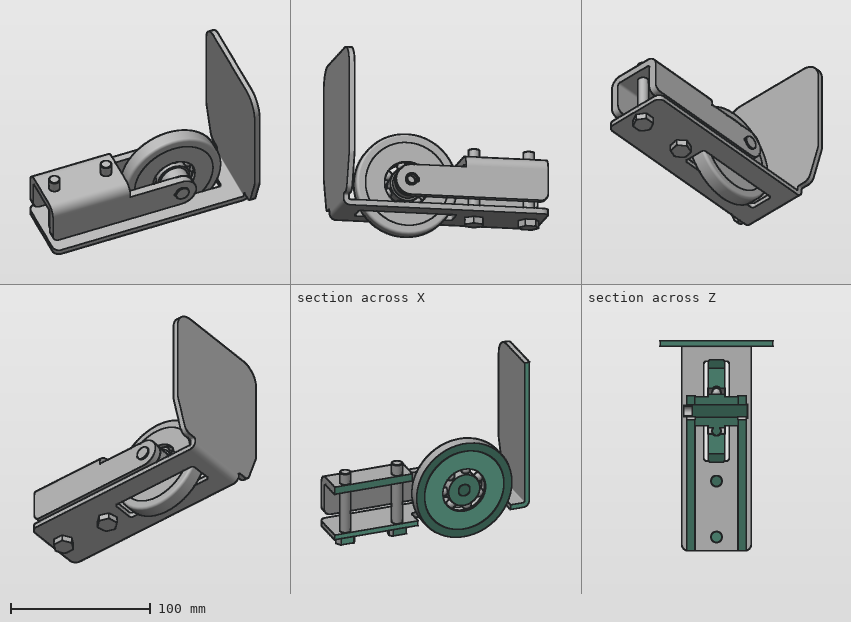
import cadquery as cq
import math


PLATE_LENGTH = 150.5
PLATE_THICKNESS = 4.0
BASE_WIDTH = 50.0
BASE_CORNER_RADIUS = 5.0
BEND_INNER_RADIUS = 0.9
BEND_OUTER_RADIUS = BEND_INNER_RADIUS + PLATE_THICKNESS
FLANGE_WIDTH = 90.0
FLANGE_TOP = 114.4
FLANGE_TOP_RADIUS = 14.6
FLANGE_BOTTOM = 8.0
TAPER_TOP = 34.0
TAPER_ANGLE = 20.0
TAPER_TOP_RADIUS = 10.0
TAPER_BOTTOM_RADIUS = 6.0
RELIEF_RADIUS = 1.5
SLOT_WIDTH = 18.0
SLOT_LENGTH = 71.3
SLOT_CORNER_RADIUS = 2.0

AXLE_Y = 100.1
AXLE_Z = 21.8
WHEEL_DIAMETER = 74.0
WHEEL_WIDTH = 12.0
TYRE_EDGE_RADIUS = 2.1
RIM_DIAMETER = 60.8
RIM_STEP = 0.2
RIM_EDGE_CHAMFER = 0.6
RIM_BORE = 32.7

HUB_DIAMETER = 21.0
RACE_DIAMETER = 24.4
BALL_DIAMETER = 6.6
BALL_COUNT = 7
BALL_START_ANGLE = 101.4
BALL_CIRCLE_RADIUS = (RIM_BORE + RACE_DIAMETER) / 4

FORK_WIDTH = 42.6
FORK_THICKNESS = 6.0
FORK_TOP = 42.0
FORK_INNER_RADIUS = 2.0
FORK_OUTER_RADIUS = FORK_INNER_RADIUS + FORK_THICKNESS
FORK_CORNER_RADIUS = 5.0
CHANNEL_LENGTH = 60.0
ARM_END_RADIUS = 11.0
NOTCH_DIAMETER = 3.0
NOTCH_OFFSET = 4.4

AXLE_DIAMETER = 8.5
AXLE_HEAD_DIAMETER = 10.0
AXLE_HEAD_HEIGHT = 1.0
AXLE_END_LENGTH = 2.1
AXLE_BORE_DIAMETER = 6.6
AXLE_BORE_DEPTH = 6.0

BOLT_DIAMETER = 8.0
BOLT_TOP = 50.4
BOLT_TIP_CHAMFER = 0.5
BOLT_HEAD_HEIGHT = 5.0
BOLT_HEAD_FLATS = 13.0
BOLT_HEAD_CHAMFER = 0.5
BOLTS = [(10.0, 30.0), (50.0, -12.0)]

FORK_INNER_WIDTH = FORK_WIDTH - 2 * FORK_THICKNESS


def x_cylinder(diameter, x_start, x_end, y=AXLE_Y, z=AXLE_Z):
    """Cylinder along X between two X positions, on the wheel axis unless told otherwise."""
    plane = cq.Workplane("YZ", origin=(x_start, y, z))
    return plane.circle(diameter / 2).extrude(x_end - x_start)


def x_disc(diameter, width):
    """Cylinder on the wheel axis, centred on X = 0."""
    return x_cylinder(diameter, -width / 2, width / 2)


def bolt_holes():
    """Cylinders that clear the bolt shanks through every plate."""
    positions = [(0, y) for y, _ in BOLTS]
    return cq.Workplane("XY").pushPoints(positions).circle(BOLT_DIAMETER / 2).extrude(BOLT_TOP)


def make_bent_plate():
    profile = [
        (0, 0),
        (PLATE_LENGTH, 0),
        (PLATE_LENGTH, TAPER_TOP),
        (PLATE_LENGTH - PLATE_THICKNESS, TAPER_TOP),
        (PLATE_LENGTH - PLATE_THICKNESS, PLATE_THICKNESS),
        (0, PLATE_THICKNESS),
    ]
    strip = cq.Workplane("YZ").polyline(profile).close().extrude(BASE_WIDTH / 2, both=True)
    strip = strip.edges("|X and >Y and <Z").fillet(BEND_OUTER_RADIUS)
    bend_corner = cq.selectors.NearestToPointSelector(
        (0, PLATE_LENGTH - PLATE_THICKNESS, PLATE_THICKNESS)
    )
    strip = strip.edges("|X").edges(bend_corner).fillet(BEND_INNER_RADIUS)
    strip = strip.edges("|Z and <Y").fillet(BASE_CORNER_RADIUS)

    half_width = FLANGE_WIDTH / 2
    taper_run = (TAPER_TOP - FLANGE_BOTTOM) * math.tan(math.radians(TAPER_ANGLE))
    half_bottom = half_width - taper_run
    outline = [
        (-half_bottom, FLANGE_BOTTOM),
        (half_bottom, FLANGE_BOTTOM),
        (half_width, TAPER_TOP),
        (half_width, FLANGE_TOP),
        (-half_width, FLANGE_TOP),
        (-half_width, TAPER_TOP),
    ]
    flange_plane = cq.Workplane("XZ", origin=(0, PLATE_LENGTH, 0))
    flange = flange_plane.polyline(outline).close().extrude(PLATE_THICKNESS)
    flange = flange.edges("|Y and >Z").fillet(FLANGE_TOP_RADIUS)
    flange = flange.edges("|Y and <Z").fillet(TAPER_BOTTOM_RADIUS)
    for side in (-1, 1):
        taper_corner = cq.selectors.NearestToPointSelector(
            (side * half_width, PLATE_LENGTH - PLATE_THICKNESS / 2, TAPER_TOP)
        )
        flange = flange.edges("|Y").edges(taper_corner).fillet(TAPER_TOP_RADIUS)

    plate = strip.union(flange)
    for side in (-1, 1):
        relief_corner = cq.selectors.NearestToPointSelector(
            (side * BASE_WIDTH / 2, PLATE_LENGTH - PLATE_THICKNESS / 2, FLANGE_BOTTOM)
        )
        plate = plate.edges("|Y").edges(relief_corner).fillet(RELIEF_RADIUS)

    slot = cq.Workplane("XY", origin=(0, AXLE_Y, 0)).rect(SLOT_WIDTH, SLOT_LENGTH).extrude(PLATE_THICKNESS)
    slot = slot.edges("|Z").fillet(SLOT_CORNER_RADIUS)
    return plate.cut(slot).cut(bolt_holes())


def make_fork():
    fork_bottom = AXLE_Z - ARM_END_RADIUS
    arm_tip = AXLE_Y + ARM_END_RADIUS
    height = FORK_TOP - fork_bottom

    outer = cq.Workplane("XY").box(FORK_WIDTH, arm_tip, height, centered=(True, False, False))
    outer = outer.edges("|Y and >Z").fillet(FORK_OUTER_RADIUS)
    inner = cq.Workplane("XY").box(
        FORK_INNER_WIDTH, arm_tip, height - FORK_THICKNESS, centered=(True, False, False)
    )
    inner = inner.edges("|Y and >Z").fillet(FORK_INNER_RADIUS)
    channel = outer.cut(inner).translate((0, 0, fork_bottom))

    arm_top = AXLE_Z + ARM_END_RADIUS
    side = (
        cq.Workplane("YZ")
        .moveTo(0, fork_bottom)
        .lineTo(AXLE_Y, fork_bottom)
        .threePointArc((arm_tip, AXLE_Z), (AXLE_Y, arm_top))
        .lineTo(CHANNEL_LENGTH, arm_top)
        .lineTo(CHANNEL_LENGTH, FORK_TOP)
        .lineTo(0, FORK_TOP)
        .close()
        .extrude(FORK_WIDTH / 2, both=True)
    )
    side = side.edges("|X and <Y and <Z").fillet(FORK_CORNER_RADIUS)

    axle_hole = x_disc(AXLE_DIAMETER, FORK_WIDTH)
    notch = x_cylinder(NOTCH_DIAMETER, -FORK_WIDTH / 2, FORK_WIDTH / 2, y=AXLE_Y - NOTCH_OFFSET)
    return channel.intersect(side).cut(axle_hole).cut(notch).cut(bolt_holes())


def make_tyre():
    tyre = x_disc(WHEEL_DIAMETER, WHEEL_WIDTH).edges().fillet(TYRE_EDGE_RADIUS)
    return tyre.cut(x_disc(RIM_DIAMETER, WHEEL_WIDTH))


def make_rim():
    rim_width = WHEEL_WIDTH + 2 * RIM_STEP
    rim = x_disc(RIM_DIAMETER, rim_width).faces("<X or >X").chamfer(RIM_STEP, RIM_EDGE_CHAMFER)
    rim = rim.cut(x_disc(RIM_BORE, rim_width))
    ball_groove = cq.Solid.makeTorus(
        BALL_CIRCLE_RADIUS, BALL_DIAMETER / 2, cq.Vector(0, AXLE_Y, AXLE_Z), cq.Vector(1, 0, 0)
    )
    return rim.cut(cq.Workplane(ball_groove))


def make_hub():
    """Spacer hub with a wider inner race that carries the balls."""
    hub = x_disc(HUB_DIAMETER, FORK_INNER_WIDTH).union(x_disc(RACE_DIAMETER, WHEEL_WIDTH))
    for i in range(BALL_COUNT):
        angle = math.radians(BALL_START_ANGLE + i * 360 / BALL_COUNT)
        ball_y = AXLE_Y - BALL_CIRCLE_RADIUS * math.cos(angle)
        ball_z = AXLE_Z + BALL_CIRCLE_RADIUS * math.sin(angle)
        ball = cq.Workplane("XY").sphere(BALL_DIAMETER / 2).translate((0, ball_y, ball_z))
        hub = hub.union(ball)
    return hub.cut(x_disc(AXLE_DIAMETER, FORK_INNER_WIDTH))


def make_axle():
    """Headed pin with a blind bore in its open end."""
    open_end = -FORK_WIDTH / 2 - AXLE_END_LENGTH
    head_face = FORK_WIDTH / 2
    shank = x_cylinder(AXLE_DIAMETER, open_end, head_face)
    head = x_cylinder(AXLE_HEAD_DIAMETER, head_face, head_face + AXLE_HEAD_HEIGHT)
    bore = x_cylinder(AXLE_BORE_DIAMETER, open_end, open_end + AXLE_BORE_DEPTH)
    return shank.union(head).cut(bore)


def make_bolt(y, head_turn):
    """Hexagon bolt that points up, its head under the base plate."""
    shank = cq.Workplane("XY").circle(BOLT_DIAMETER / 2).extrude(BOLT_TOP)
    shank = shank.faces(">Z").chamfer(BOLT_TIP_CHAMFER)
    corner_diameter = BOLT_HEAD_FLATS / math.cos(math.radians(30))
    below = cq.Workplane("XY", origin=(0, 0, -BOLT_HEAD_HEIGHT))
    head = below.polygon(6, corner_diameter).extrude(BOLT_HEAD_HEIGHT)
    corner_trim = below.circle(corner_diameter / 2).extrude(BOLT_HEAD_HEIGHT)
    corner_trim = corner_trim.faces("<Z").chamfer(BOLT_HEAD_CHAMFER)
    head = head.intersect(corner_trim).rotate((0, 0, 0), (0, 0, 1), head_turn)
    return shank.union(head).translate((0, y, 0))


bent_plate = make_bent_plate()
fork = make_fork()
tyre = make_tyre()
rim = make_rim()
hub = make_hub()
axle = make_axle()
bolts = [make_bolt(y, head_turn) for y, head_turn in BOLTS]

result = cq.Compound.makeCompound([
    bent_plate.val(),
    fork.val(),
    tyre.val(),
    rim.val(),
    hub.val(),
    axle.val(),
    *[bolt.val() for bolt in bolts],
])